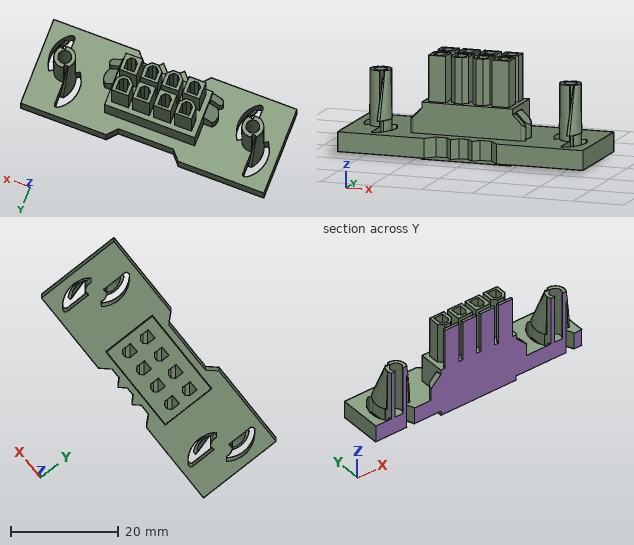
import cadquery as cq
import math

plate_length = 48.6
plate_width = 17.3
plate_thickness = 3.8
waist_depth = 1.88
waist_outer_half = 7.2
waist_inner_half = 5.5

pitch = 4.2
columns = 4
rows = 2
tooth_half_width = 1.2
tooth_height = 1.3

pad_length = 17.7
pad_width = 11.0
pad_thickness = 0.95

housing_length = 18.0
housing_width = 9.5
housing_height = 6.0
overall_height = 19.6
tower_top = overall_height - pad_thickness
tower_size = 3.36
tower_chamfer = 1.0
bore_width = 2.0
bore_length = 2.36
bore_chamfer = 0.6
chamfered_towers = {(0, 1), (3, 1), (1, 0), (2, 0)}

rib_reach = 11.35
rib_height = 4.95
rib_end_bulge = 0.65
rib_specs = ((-1.27, 3.0), (-4.08, 1.34))

post_spacing = 37.6
post_radius = 2.05
post_height = 10.7
post_bore_radius = 1.25
notch_near_x = -0.48
notch_far_x = -1.1
notch_floor_y = 1.42

wing_centre = (1.7, 2.3)
wing_radius = 4.55
wing_wall = 0.3
wing_tip_y = 5.32
wing_top_tip_y = 1.55
hollow_centre = (0.7, 2.3)
hollow_radius = 3.2
wing_bottom_gap = 1.8
window_radius = 5.5
window_end_angle = math.radians(216)
window_tip_y = 6.95
window_fillet = 0.45

overcut = 0.01
post_top = plate_thickness + post_height


def circle_x(centre, radius, y):
    """X of the -X side of a circle at the given Y."""
    return centre[0] - math.sqrt(radius**2 - (y - centre[1])**2)


def make_plate():
    half_length = plate_length / 2
    half_width = plate_width / 2
    waist_y = half_width - waist_depth
    points = [(-half_length, -half_width), (-waist_outer_half, -half_width), (-waist_inner_half, -waist_y)]
    for tooth_x in (-pitch / 2, pitch / 2):
        points += [
            (tooth_x - tooth_half_width, -waist_y),
            (tooth_x, -waist_y - tooth_height),
            (tooth_x + tooth_half_width, -waist_y),
        ]
    points += [
        (waist_inner_half, -waist_y),
        (waist_outer_half, -half_width),
        (half_length, -half_width),
        (half_length, half_width),
        (waist_outer_half, half_width),
        (waist_inner_half, waist_y),
        (-waist_inner_half, waist_y),
        (-waist_outer_half, half_width),
        (-half_length, half_width),
    ]
    return cq.Workplane("XY").polyline(points).close().extrude(plate_thickness)


def make_pad():
    return cq.Workplane("XY").rect(pad_length, pad_width).extrude(-pad_thickness)


def make_rib(centre_y, width):
    """Bar through the housing whose ends stick out, bulged in plan and sloped at 45 degrees on top."""
    side_end = rib_reach - rib_end_bulge
    half_width = width / 2
    bar = (
        cq.Workplane("XY", origin=(0, centre_y, plate_thickness))
        .moveTo(-side_end, -half_width)
        .lineTo(side_end, -half_width)
        .threePointArc((rib_reach, 0), (side_end, half_width))
        .lineTo(-side_end, half_width)
        .threePointArc((-rib_reach, 0), (-side_end, -half_width))
        .close()
        .extrude(rib_height)
    )
    slope = rib_reach - housing_length / 2
    top = plate_thickness + rib_height
    profile = [
        (-rib_reach, plate_thickness),
        (rib_reach, plate_thickness),
        (rib_reach, top - slope),
        (rib_reach - slope, top),
        (slope - rib_reach, top),
        (-rib_reach, top - slope),
    ]
    envelope = cq.Workplane("XZ").polyline(profile).close().extrude(plate_width / 2, both=True)
    return bar.intersect(envelope)


def tower_places():
    for column in range(columns):
        for row in range(rows):
            x = (column - (columns - 1) / 2) * pitch
            y = (row - (rows - 1) / 2) * pitch
            yield (column, row), x, y


def make_connector():
    body = (
        cq.Workplane("XY", origin=(0, 0, plate_thickness))
        .rect(housing_length, housing_width)
        .extrude(housing_height)
    )
    for centre_y, width in rib_specs:
        body = body.union(make_rib(centre_y, width))
    for cell, x, y in tower_places():
        tower = (
            cq.Workplane("XY", origin=(x, y, plate_thickness))
            .rect(tower_size, tower_size)
            .extrude(tower_top - plate_thickness)
        )
        if cell in chamfered_towers:
            tower = tower.edges("|Z and <Y").chamfer(tower_chamfer)
        body = body.union(tower)
    return body


def make_terminal_bores():
    """Through bores with two chamfered corners on the -Y side."""
    bores = cq.Workplane("XY")
    for _, x, y in tower_places():
        bore = (
            cq.Workplane("XY", origin=(x, y, -pad_thickness))
            .rect(bore_width, bore_length)
            .extrude(tower_top + pad_thickness)
            .edges("|Z and <Y")
            .chamfer(bore_chamfer)
        )
        bores = bores.add(bore)
    return bores.combine()


def half_turn(shape):
    return shape.rotate((0, 0, 0), (0, 0, 1), 180)


def make_window():
    """Plate opening around one wing, centred on the post axis."""
    cx, cy = wing_centre
    start = (circle_x(wing_centre, window_radius, window_tip_y), window_tip_y)
    middle = (cx - window_radius, cy)
    end = (
        cx + window_radius * math.cos(window_end_angle),
        cy + window_radius * math.sin(window_end_angle),
    )
    inner_end = (notch_near_x, cy + (notch_near_x - cx) * math.tan(window_end_angle))
    window = (
        cq.Workplane("XY")
        .moveTo(notch_near_x, window_tip_y)
        .lineTo(*start)
        .threePointArc(middle, end)
        .lineTo(*inner_end)
        .close()
        .extrude(plate_thickness)
    )
    return window.edges("|Z and >Y").fillet(window_fillet)


def wing_section(plane, centre, radius, tip_y, open_x, root_y):
    """Closed outline bounded by an arc on -X, a flat tip on +Y and a straight side at open_x."""
    tip = (circle_x(centre, radius, tip_y), tip_y)
    root = (circle_x(centre, radius, root_y), root_y)
    middle_y = (tip_y + root_y) / 2
    middle = (circle_x(centre, radius, middle_y), middle_y)
    return (
        plane.moveTo(*root)
        .threePointArc(middle, tip)
        .lineTo(open_x, tip_y)
        .lineTo(open_x, root_y)
        .close()
    )


def wing_loft(centre, radius, wall, open_x, root_y):
    """Solid flare from a lower arc up to the rim of the post, with tips and rim set in by wall."""
    bottom_z = plate_thickness + wing_bottom_gap
    lower = wing_section(
        cq.Workplane("XY", origin=(0, 0, bottom_z)), centre, radius, wing_tip_y - wall, open_x, root_y
    )
    flare = wing_section(
        lower.workplane(offset=post_top - bottom_z),
        (0, 0), post_radius - wall, wing_top_tip_y - wall, open_x, root_y,
    )
    return flare.loft(ruled=True)


def make_wing():
    outer = wing_loft(wing_centre, wing_radius, 0, notch_far_x, 0)
    hollow = wing_loft(hollow_centre, hollow_radius, wing_wall, notch_near_x, -overcut)
    return outer.cut(hollow)


def make_notch():
    """Slot in the post beside the free edge of a wing."""
    return cq.Workplane("XY").box(
        notch_near_x - notch_far_x, post_radius, post_top, centered=False
    ).translate((notch_far_x, notch_floor_y, 0))


def make_post():
    notch = make_notch()
    wing = make_wing()
    post = cq.Workplane("XY").circle(post_radius).extrude(post_top)
    post = post.cut(notch).cut(half_turn(notch))
    post = post.union(wing).union(half_turn(wing))
    bore = cq.Workplane("XY", origin=(0, 0, plate_thickness)).circle(post_bore_radius).extrude(post_height)
    return post.cut(bore)


result = make_plate().union(make_pad()).union(make_connector()).cut(make_terminal_bores())
window = make_window()
post = make_post()
for post_x in (-post_spacing / 2, post_spacing / 2):
    place = (post_x, 0, 0)
    result = result.cut(window.translate(place)).cut(half_turn(window).translate(place))
    result = result.union(post.translate(place))